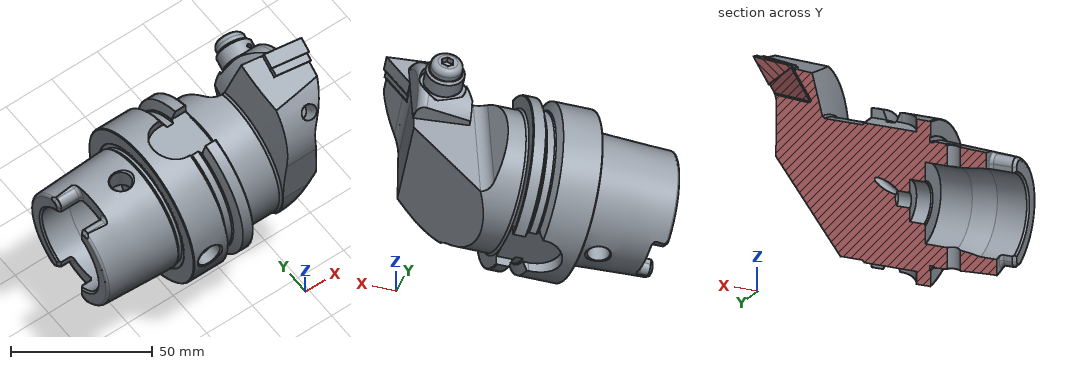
import cadquery as cq
import math


shank_length = 31.7
shank_end_radius = 22.8
shank_taper = 0.045
shank_edge_fillet = 1.0
relief_start = 1.7
relief_radius = 23.6
face_groove_radius = 25.4
face_groove_depth = 0.4
bore_mouth_radius = 17.7
bore_radius = 17.0
bore_floor_radius = 15.7
bore_taper_start = -19.4
bore_taper_end = -10.2
bore_floor_x = 2.0
thread_radius = 8.6
thread_chamfer = 0.5
thread_depth = 6.1
coolant_radius = 4.3
coolant_depth = 5.1
drill_cone_depth = 2.4
cross_hole_x = -9.0
cross_hole_radius = 4.1
cross_hole_sink_depth = 1.0
cross_hole_sink_z = 23.2

slot_half_width = 6.2
slot_lip_radius = 2.9
slot_level = 20.8
slot_end_fillet = 1.2
slot_mouth_chamfer = 1.2
slot_run_out = 5.1
upper_slot_x = -21.8
lower_slot_x = -25.9

flange_radius = 31.5
flange_length = 26.1
flange_chamfer = 0.3
groove_floor_radius = 27.5
groove_start = 14.8
groove_end = 21.5
groove_flank_run = 1.5
groove_bevel_run = 0.5
groove_bevel_rise = 0.4
key_half_width = 9.1
key_floor = 26.5
key_start = 5.1
chip_hole_x = 7.0
chip_hole_radius = 4.8
chip_hole_sink = 0.6
chip_hole_depth = 5.1

neck_radius = 25.9
neck_core_radius = 20.4
neck_chamfer = 0.8
neck_end_fillet = 0.7
head_radius = 26.9
head_rise = 18.9
head_back_x = 42.5
head_back_angle = 14.5
tip = cq.Vector(70.2, 0, 45.0)
rake_slope_x = 0.16
rake_slope_z = 0.18
edge_rise = 0.04
top_drop = 0.8
flank_setback = 0.9
front_upper = (9.5, -12.2)
front_fillet = 12.2
front_lower = (10.2, -36.0)
belly_point = (62.3, 8.2, 9.3)
belly_normal = (0.8, -0.04, -0.6)
pocket_start_x = 40.8
pocket_fillet = 5.1
pocket_wall_angle = 72.0
outlet_x = 57.7
outlet_z = 34.7
outlet_radius = 3.0
outlet_depth = 5.1
outlet_direction = (-0.25, 0.75, -0.6)
passage_radius = 1.5
passage_inlet = (12.7, -1.6, 1.9)
passage_direction = (1.0, -0.35, 0.45)
passage_length = 12.2

insert_edge = 14.9
insert_angle = math.radians(55)
insert_thickness = 6.0
shim_thickness = 3.2
shim_inset = 0.4
clamp_height = 11.2
clamp_nose_x = 7.1
clamp_nose_upper = (12.7, -3.2)
clamp_shoulder = (22.4, -11.4)
clamp_back_upper = (30.1, -24.5)
clamp_bottom = -30.6
clamp_seat_radius = 8.5
clamp_crown_radius = 18.1
clamp_crown_y = -2.8
clamp_crown_z = 24.7
clamp_front_x = 62.7
clamp_front_fillet = 3.1
nozzle_place = (19.1, -19.3)
collar_base = 7.0
collar_top = 14.4
collar_radius = 7.0
collar_chamfer = 0.9
collar_jet_height = 3.4
jet_radius = 0.8
jet_offset = -4.3
cap_radius = 5.8
cap_height = 4.1
cap_fillet = 2.2
socket_width = 4.1
socket_depth = 2.0

far = 152.8

rake_normal = cq.Vector(rake_slope_x, 1, rake_slope_z).normalized()
edge_back = cq.Vector(-1, rake_slope_x + rake_slope_z * edge_rise, -edge_rise).normalized()
rake_plane = cq.Plane(origin=tip, xDir=edge_back, normal=rake_normal)


def revolve_about_x(points):
    return cq.Workplane("XY").polyline(points).close().revolve(360, (0, 0, 0), (1, 0, 0))


def rake_workplane(height=0.0):
    return cq.Workplane(rake_plane).workplane(offset=height)


def diamond(workplane, inset=0.0):
    """Rhombus with its sharp corner at the cutting tip, pulled in by `inset` on every side."""
    reach = insert_edge * math.cos(insert_angle)
    drop = insert_edge * math.sin(insert_angle)
    corners = [(0, 0), (insert_edge, 0), (insert_edge + reach, -drop), (reach, -drop)]
    outline = workplane.polyline(corners).close()
    return outline.offset2D(-inset) if inset else outline


def shank():
    root_radius = shank_end_radius + shank_taper * shank_length
    cone = revolve_about_x([
        (-shank_length, 0),
        (-shank_length, shank_end_radius),
        (0, root_radius),
        (0, 0),
    ])
    cone = cone.faces("<X").edges().fillet(shank_edge_fillet)
    slotted = cone.cut(drive_slot(upper_slot_x)).cut(drive_slot(lower_slot_x).mirror("XY"))
    return slotted.cut(relief_groove(root_radius))


def relief_groove(root_radius):
    return revolve_about_x([
        (-relief_start, root_radius),
        (-relief_start / 2, relief_radius),
        (0, relief_radius),
        (0, flange_radius),
        (-relief_start, flange_radius),
    ])


def flange():
    bevel_start = groove_start + groove_flank_run
    bevel_end = groove_end - groove_flank_run
    disc = revolve_about_x([
        (0, 0),
        (0, relief_radius),
        (face_groove_depth, relief_radius),
        (face_groove_depth, face_groove_radius),
        (0, face_groove_radius),
        (0, flange_radius - flange_chamfer),
        (flange_chamfer, flange_radius),
        (groove_start, flange_radius),
        (bevel_start, groove_floor_radius + groove_bevel_rise),
        (bevel_start + groove_bevel_run, groove_floor_radius),
        (bevel_end - groove_bevel_run, groove_floor_radius),
        (bevel_end, groove_floor_radius + groove_bevel_rise),
        (groove_end, flange_radius),
        (flange_length - flange_chamfer, flange_radius),
        (flange_length, flange_radius - flange_chamfer),
        (flange_length, 0),
    ])
    return disc.cut(chip_hole())


def bore():
    thread_floor = bore_floor_x + thread_depth
    coolant_floor = thread_floor + coolant_depth
    mouth = bore_mouth_radius - bore_radius
    return revolve_about_x([
        (-shank_length, 0),
        (-shank_length, bore_mouth_radius),
        (mouth - shank_length, bore_radius),
        (bore_taper_start, bore_radius),
        (bore_taper_end, bore_floor_radius),
        (bore_floor_x, bore_floor_radius),
        (bore_floor_x, thread_radius + thread_chamfer),
        (bore_floor_x + thread_chamfer, thread_radius),
        (thread_floor, thread_radius),
        (thread_floor, coolant_radius),
        (coolant_floor, coolant_radius),
        (coolant_floor + drill_cone_depth, 0),
    ])


def slot_half_outline(x, growth=0.0):
    """Half of the drive slot outline at station x, moved outward by `growth`."""
    lip_radius = slot_lip_radius - growth
    lip_y = slot_half_width + slot_lip_radius
    wall_y = lip_y - lip_radius
    level_z = slot_level - growth
    return (
        cq.Workplane("YZ").workplane(offset=x)
        .moveTo(0, 0).lineTo(wall_y, 0).lineTo(wall_y, level_z - lip_radius)
        .radiusArc((lip_y, level_z), lip_radius)
        .lineTo(lip_y + slot_run_out, level_z).lineTo(lip_y + slot_run_out, flange_radius)
        .lineTo(0, flange_radius).close()
    )


def drive_slot(end_x):
    """Slot across the top of the shank end whose walls roll over into the outer surface."""
    half = slot_half_outline(-shank_length).extrude(end_x + shank_length)
    wall_foot = (end_x, slot_half_width, slot_half_width)
    half = half.faces(">X").edges(cq.selectors.NearestToPointSelector(wall_foot)).fillet(slot_end_fillet)
    wide_end = slot_half_outline(-shank_length, slot_mouth_chamfer).wires().val()
    narrow_end = slot_half_outline(slot_mouth_chamfer - shank_length).wires().val()
    half = half.union(cq.Workplane(cq.Solid.makeLoft([wide_end, narrow_end], True)))
    return half.union(half.mirror("XZ"))


def cross_hole():
    """Hole through both walls of the shank, with a countersink outside."""
    start = cq.Workplane("XY").center(cross_hole_x, 0)
    hole = start.circle(cross_hole_radius).extrude(flange_radius, both=True)
    sink = (
        start.workplane(offset=cross_hole_sink_z)
        .circle(cross_hole_radius).extrude(cross_hole_sink_depth, taper=-45)
    )
    return hole.union(sink).union(sink.mirror("XY"))


def key_slot():
    """Flat slot in the top of the flange, round at its closed end."""
    length = flange_length - key_start - key_half_width
    return (
        cq.Workplane("XY").workplane(offset=key_floor)
        .center(key_start + key_half_width, 0)
        .moveTo(0, -key_half_width).lineTo(length, -key_half_width).lineTo(length, key_half_width)
        .lineTo(0, key_half_width).threePointArc((-key_half_width, 0), (0, -key_half_width))
        .close().extrude(flange_radius)
    )


def chip_hole():
    """Blind hole in the near side of the flange, with a countersunk mouth."""
    start = cq.Workplane("XZ").center(chip_hole_x, 0)
    hole = (
        start.workplane(offset=flange_radius - chip_hole_depth)
        .circle(chip_hole_radius).extrude(2 * chip_hole_depth)
    )
    sink = (
        start.workplane(offset=flange_radius - chip_hole_sink)
        .circle(chip_hole_radius).extrude(2 * chip_hole_sink, taper=-45)
    )
    return hole.union(sink)


def neck_and_head():
    spread = math.tan(math.radians(head_back_angle))
    neck_end = head_back_x - (head_radius - neck_radius) * spread
    neck = revolve_about_x([
        (0, 0),
        (0, neck_core_radius),
        (flange_length, neck_core_radius),
        (flange_length, neck_radius + neck_chamfer),
        (flange_length + neck_chamfer, neck_radius),
        (neck_end - neck_end_fillet, neck_radius),
        (neck_end + neck_end_fillet * spread, neck_radius + neck_end_fillet),
        (head_back_x, neck_radius),
        (head_back_x, 0),
    ])
    head = (
        cq.Workplane("YZ").workplane(offset=flange_length)
        .moveTo(-head_radius, 0).threePointArc((0, -head_radius), (head_radius, 0))
        .lineTo(head_radius, head_rise)
        .threePointArc((0, head_rise + head_radius), (-head_radius, head_rise))
        .close().extrude(tip.x - flange_length)
    )
    outer = 2 * head_radius
    behind_back = revolve_about_x([
        (0, 0),
        (head_back_x - head_radius * spread, 0),
        (head_back_x + (outer - head_radius) * spread, outer),
        (0, outer),
    ])
    return neck.union(head.cut(behind_back))


def head_prism():
    """Outline of the neck and head in the rake plane, carried square to it."""
    front_slope = (front_lower[0] - front_upper[0]) / (front_lower[1] - front_upper[1])
    outline = [
        (flank_setback + top_drop / math.tan(insert_angle), -top_drop),
        front_upper,
        (front_upper[0] - front_slope * far, front_upper[1] - far),
        (far, -far),
        (far, -top_drop),
    ]
    prism = rake_workplane().polyline(outline).close().extrude(far, both=True)
    corner = rake_plane.toWorldCoords(front_upper)
    return prism.edges(cq.selectors.NearestToPointSelector(corner.toTuple())).fillet(front_fillet)


def belly_cut():
    """Everything below the slanted underside of the head and neck."""
    plane = cq.Plane(origin=belly_point, xDir=(0, 1, 0), normal=belly_normal)
    return cq.Workplane(plane).rect(2 * far, 2 * far).extrude(far)


def rake_cut():
    """Clearance above the rake plane, with a rounded run-out into the neck."""
    along = cq.Vector(0, -rake_slope_z, 1).normalized()
    across = cq.Plane(origin=tip, xDir=(1, 0, 0), normal=along)
    floor_angle = math.atan(rake_slope_x / math.hypot(1, rake_slope_z))
    start_x = pocket_start_x - tip.x
    start_y = -start_x * math.tan(floor_angle)
    wall_angle = math.radians(pocket_wall_angle)
    centre_x = start_x + pocket_fillet * math.sin(floor_angle)
    centre_y = start_y + pocket_fillet * math.cos(floor_angle)

    def rim(angle):
        return (centre_x - pocket_fillet * math.sin(angle), centre_y - pocket_fillet * math.cos(angle))

    wall_foot = rim(wall_angle)
    reach = far / 3
    wall_top = (wall_foot[0] - reach / math.tan(wall_angle), wall_foot[1] + reach)
    return (
        cq.Workplane(across)
        .moveTo(reach, -reach * math.tan(floor_angle)).lineTo(start_x, start_y)
        .threePointArc(rim((wall_angle - floor_angle) / 2), wall_foot)
        .lineTo(*wall_top).lineTo(reach, wall_top[1])
        .close().extrude(far, both=True)
    )


def insert_pocket():
    return diamond(rake_workplane(-insert_thickness - shim_thickness)).extrude(far)


def coolant_outlet():
    """Blind port in the side of the head."""
    mouth_y = -math.sqrt(head_radius**2 - (outlet_z - head_rise) ** 2)
    mouth = cq.Vector(outlet_x, mouth_y, outlet_z)
    inward = cq.Vector(*outlet_direction).normalized()
    port_plane = cq.Plane(origin=mouth - inward * outlet_depth, normal=inward)
    return cq.Workplane(port_plane).circle(outlet_radius).extrude(2 * outlet_depth)


def coolant_passage():
    """Oblique drilling that leaves the conical end of the coolant drill."""
    plane = cq.Plane(origin=passage_inlet, normal=passage_direction)
    return cq.Workplane(plane).circle(passage_radius).extrude(passage_length)


def make_holder():
    head = neck_and_head().intersect(head_prism()).cut(belly_cut()).cut(rake_cut()).cut(insert_pocket())
    body = shank().union(flange()).union(head)
    upper_key = key_slot()
    body = body.cut(upper_key).cut(upper_key.mirror("XY"))
    return body.cut(bore()).cut(cross_hole()).cut(coolant_outlet()).cut(coolant_passage())


def make_insert():
    return diamond(rake_workplane(-insert_thickness)).extrude(insert_thickness)


def make_shim():
    return diamond(rake_workplane(-insert_thickness - shim_thickness), shim_inset).extrude(shim_thickness)


def on_nozzle_axis(height):
    return rake_workplane(height).center(*nozzle_place)


def make_clamp():
    """Clamp on the rake plane with a cylindrical crown and a flat seat for the collar."""
    block = (
        rake_workplane()
        .moveTo(clamp_nose_x, clamp_nose_upper[1]).lineTo(*clamp_nose_upper)
        .threePointArc(clamp_shoulder, clamp_back_upper)
        .lineTo(clamp_back_upper[0], clamp_bottom).lineTo(clamp_nose_x, clamp_bottom)
        .close().extrude(clamp_height)
    )
    crown = (
        cq.Workplane("YZ").center(clamp_crown_y, clamp_crown_z)
        .circle(clamp_crown_radius).extrude(clamp_front_x)
        .faces(">X").edges().fillet(clamp_front_fillet)
    )
    seat = on_nozzle_axis(collar_base).circle(clamp_seat_radius).extrude(far)
    return block.intersect(crown).cut(seat)


def make_collar():
    """Nozzle collar with chamfered rims and a small jet in its upper side."""
    solid = on_nozzle_axis(collar_base).circle(collar_radius).extrude(collar_top - collar_base)
    along_axis = cq.selectors.ParallelDirSelector(rake_normal)
    solid = solid.faces(along_axis).edges().chamfer(collar_chamfer)
    jet_origin = on_nozzle_axis(collar_base + collar_jet_height).plane.origin
    jet_plane = cq.Plane(jet_origin, rake_normal, rake_plane.yDir)
    jet = cq.Workplane(jet_plane).center(0, jet_offset).circle(jet_radius).extrude(2 * collar_radius)
    return solid.cut(jet)


def make_cap():
    """Domed cap on the collar with a hexagon socket."""
    top = cq.selectors.DirectionMinMaxSelector(rake_normal, True)
    cap = on_nozzle_axis(collar_top).circle(cap_radius).extrude(cap_height)
    cap = cap.faces(top).edges().fillet(cap_fillet)
    socket = (
        on_nozzle_axis(collar_top + cap_height - socket_depth)
        .polygon(6, socket_width, circumscribed=True).extrude(far)
    )
    return cap.cut(socket)


holder = make_holder()
insert = make_insert()
shim = make_shim()
clamp = make_clamp()
collar = make_collar()
cap = make_cap()

result = cq.Compound.makeCompound([
    holder.val(),
    insert.val(),
    shim.val(),
    clamp.val(),
    collar.val(),
    cap.val(),
])